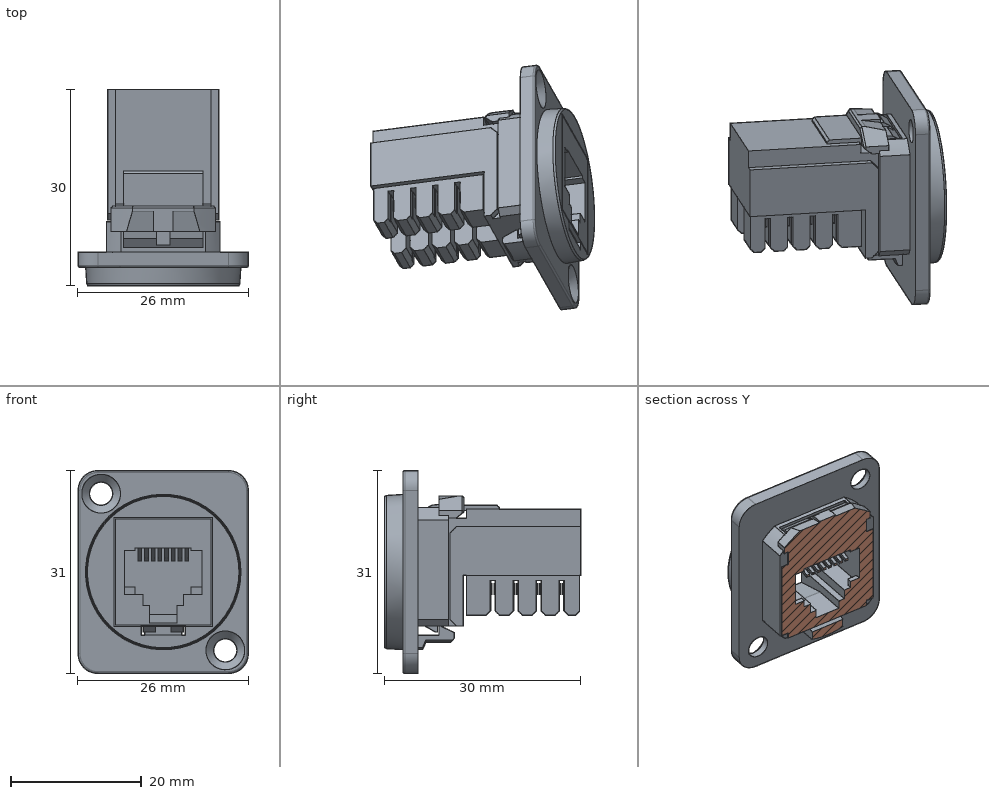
import cadquery as cq


PLATE_WIDTH = 26.0
PLATE_HEIGHT = 31
PLATE_FRONT = 2.82
PLATE_BACK = 5.15
PLATE_CORNER_RADIUS = 3.05
PLATE_EDGE_RADIUS = 0.28
BEZEL_BASE_RADIUS = 11.87
BEZEL_FRONT_RADIUS = 11.72
BEZEL_EDGE_SETBACK = 0.15
BEZEL_EDGE_DEPTH = 0.35
SCREW_X = 9.5
SCREW_Z = 11.97
SCREW_DIAMETER = 3.5
SCREW_HEAD_DIAMETER = 5.92

WINDOW_HALF_WIDTH = 7.5
WINDOW_HALF_HEIGHT = 8.3
GAP_WIDTH = 0.2
GAP_DEPTH = 0.62

HOUSING_BACK = 9.8
HOUSING_RADIUS = 11.78
HOUSING_HALF_WIDTH = 8.68
HOUSING_TOP = 9.85
HOUSING_BOTTOM = -8.25
HOUSING_BOTTOM_CHAMFER = 1.0

BODY_BACK = 30.0
BODY_HALF_WIDTH = 7.3
BODY_TOP = 9.6
BODY_BOTTOM = -0.53
BODY_STEP_Y = 12.52
BODY_STEP_TOP = 8.2
FLANGE_HALF_WIDTH = 8.5
FLANGE_FRONT = 10.0
FLANGE_TOP = 6.95
FLANGE_CHAMFER = 1.0
LEG_BACK = 12.05
LEG_BOTTOM = HOUSING_BOTTOM

FINGER_BACK = 29.8
FINGER_FRONT = 12.52
FINGER_BOTTOM = -6.6
FINGER_OUTER_X = 7.6
FINGER_INNER_X = 2.48
FINGER_WALL = 1.25
FINGER_CHAMFER = 0.6
SLOT_COUNT = 4
SLOT_PITCH = 3.5
SLOT_FIRST_Y = 16.55
SLOT_WIDTH = 0.87
SLOT_INNER_WIDTH = 0.62
SLOT_TOP = -1.3
BLADE_TOP = -1.75
BLADE_BOTTOM = -3.4
BLADE_SLIT = 0.28
BLADE_THICKNESS = 0.3

STRIP_HALF_WIDTH = 6.05
STRIP_TOP = 10.23
STRIP_BACK = 17.55
STRIP_CHAMFER = 0.37
STRIP_FRONT = 5.85
STRIP_FRONT_Z = 9.4
STRIP_RAMP_BACK = 7.25
STRIP_PEAK_Z = 10.35
NOTCH_HALF_WIDTH = 1.02
NOTCH_FLOOR = 9.6

HEAD_FRONT = 8.3
HEAD_BACK = 12.15
HEAD_HALF_WIDTH = 8.0
HEAD_FLAT_HALF_WIDTH = 4.7
HEAD_TOP = 11.62
HEAD_SHOULDER_Z = 9.4
HEAD_ARCH_X = 6.35
HEAD_ARCH_Z = 10.6
HEAD_BOTTOM = 8.45
HEAD_HOOK_BACK_Z = 9.18
HEAD_HOOK_Y = 10.95
HEAD_CHAMFER = 0.28
HEAD_RIB_HALF_WIDTH = 1.45
HEAD_RAMP_BACK = 11.3
HEAD_RAMP_FRONT_Z = 11.1

LATCH_SLOT_HALF_WIDTH = 3.35
LATCH_SLOT_BOTTOM = -9.65
ARM_HALF_WIDTH = 2.85
ARM_OUTER_RADIUS = 10.75
ARM_FOOT_RADIUS = 11.85
ARM_FOOT_BACK = 5.83
ARM_NECK_Y = 6.32
HOOK_FRONT = 8.3
HOOK_BACK = 10.65
HOOK_TIP_BACK = 8.62
HOOK_UPPER_Z = -9.25
HOOK_LOWER_Z = -10.1
HOOK_UNDERSIDE_BACK = 10.1
WEDGE_INNER_X = 1.2
WEDGE_OUTER_X = 3.07
WEDGE_TIP_Z = -9.18
WEDGE_FRONT = 6.17
WEDGE_TIP_FRONT = 7.75
WEDGE_BACK = 8.12

SOCKET_DEPTH = 10.85
SOCKET_HALF_WIDTH = 5.9
SOCKET_TOP = 3.32
SOCKET_FLOOR = -3.45
CONTACT_NOTCH_HALF_WIDTH = 4.28
CONTACT_NOTCH_TOP = 3.7
KEY_HALF_WIDTH = 3.1
KEY_FLOOR = -5.08
CHANNEL_HALF_WIDTH = 2.08
CHANNEL_FLOOR = -7.75
CHANNEL_BACK_FLOOR = -6.48
CHANNEL_RAMP_LENGTH = 5.02
STOP_FRONT = 9.3
STOP_TOP = -2.3
CONTACT_COUNT = 8
CONTACT_PITCH = 1.02
CONTACT_WIDTH = 0.55
CONTACT_TIP_Z = 1.67
CONTACT_THICKNESS = 0.45
CONTACT_FRONT = 3.72


def box(x, y, z):
    """Box between the given (low, high) limits on each axis."""
    return cq.Workplane("XY").box(
        x[1] - x[0], y[1] - y[0], z[1] - z[0], centered=False
    ).translate((x[0], y[0], z[0]))


def centred_box(half_width, y, z):
    return box((-half_width, half_width), y, z)


def side_extrude(points, x):
    """Extrude a closed (Y, Z) outline between two X limits."""
    return cq.Workplane("YZ").workplane(offset=x[0]).polyline(points).close().extrude(x[1] - x[0])


def front_plane(y):
    """XZ plane at the given Y; extrusions from it run toward +Y when negative."""
    return cq.Workplane("XZ", origin=(0, y, 0))


def round_about_y(profile):
    """Revolve a closed (radius, Y) outline about the Y axis."""
    return cq.Workplane("XY").polyline(profile).close().revolve(360, (0, 0, 0), (0, 1, 0))


def both_sides(solid):
    return solid.union(solid.mirror("YZ"))


def make_plate():
    plate = front_plane(PLATE_FRONT).rect(PLATE_WIDTH, PLATE_HEIGHT).extrude(PLATE_FRONT - PLATE_BACK)
    plate = plate.edges("|Y").fillet(PLATE_CORNER_RADIUS)
    return plate.faces("<Y").edges().fillet(PLATE_EDGE_RADIUS)


def make_bezel():
    return round_about_y([
        (0, 0),
        (BEZEL_FRONT_RADIUS - BEZEL_EDGE_SETBACK, 0),
        (BEZEL_FRONT_RADIUS, BEZEL_EDGE_DEPTH),
        (BEZEL_BASE_RADIUS, PLATE_FRONT),
        (0, PLATE_FRONT),
    ])


def make_screw_holes():
    """Countersunk holes in two opposite plate corners."""
    head_radius = SCREW_HEAD_DIAMETER / 2
    hole_radius = SCREW_DIAMETER / 2
    cone_end = PLATE_FRONT + head_radius - hole_radius
    cutter = round_about_y([
        (0, 0),
        (head_radius, 0),
        (head_radius, PLATE_FRONT),
        (hole_radius, cone_end),
        (hole_radius, PLATE_BACK),
        (0, PLATE_BACK),
    ])
    upper = cutter.translate((-SCREW_X, 0, SCREW_Z))
    lower = cutter.translate((SCREW_X, 0, -SCREW_Z))
    return upper.union(lower)


def make_housing():
    """Block with chamfered bottom corners, its upper corners rounded about the bezel axis."""
    length = (PLATE_BACK, HOUSING_BACK)
    block = centred_box(HOUSING_HALF_WIDTH, length, (HOUSING_BOTTOM, HOUSING_TOP))
    block = block.edges("|Y and <Z").chamfer(HOUSING_BOTTOM_CHAMFER)
    round_limit = front_plane(PLATE_BACK).circle(HOUSING_RADIUS).extrude(PLATE_BACK - HOUSING_BACK)
    strip_bed = centred_box(STRIP_HALF_WIDTH, (STRIP_FRONT, HOUSING_BACK), (STRIP_FRONT_Z, HOUSING_TOP))
    return block.intersect(round_limit).cut(strip_bed)


def make_body():
    core = side_extrude([
        (HOUSING_BACK, LEG_BOTTOM),
        (LEG_BACK, LEG_BOTTOM),
        (LEG_BACK, BODY_BOTTOM),
        (BODY_BACK, BODY_BOTTOM),
        (BODY_BACK, BODY_TOP),
        (BODY_STEP_Y, BODY_TOP),
        (BODY_STEP_Y, BODY_STEP_TOP),
        (HOUSING_BACK, BODY_STEP_TOP),
    ], (-BODY_HALF_WIDTH, BODY_HALF_WIDTH))
    flange = side_extrude([
        (FLANGE_FRONT, LEG_BOTTOM + FLANGE_CHAMFER),
        (FLANGE_FRONT + FLANGE_CHAMFER, LEG_BOTTOM),
        (LEG_BACK, LEG_BOTTOM),
        (LEG_BACK, BODY_BOTTOM),
        (BODY_BACK, BODY_BOTTOM),
        (BODY_BACK, FLANGE_TOP),
        (FLANGE_FRONT + FLANGE_CHAMFER, FLANGE_TOP),
        (FLANGE_FRONT, FLANGE_TOP - FLANGE_CHAMFER),
    ], (-FLANGE_HALF_WIDTH, FLANGE_HALF_WIDTH))
    return core.union(flange)


def make_fingers():
    """Two rows of slotted walls with a split contact blade in every slot."""
    row_x = (FINGER_INNER_X, FINGER_OUTER_X)
    row = box(row_x, (FINGER_FRONT, FINGER_BACK), (FINGER_BOTTOM, BODY_BOTTOM))
    row = row.edges("|X and <Z and >Y").chamfer(FINGER_CHAMFER)
    middle_x = sum(row_x) / 2
    blade_x = (middle_x - BLADE_THICKNESS / 2, middle_x + BLADE_THICKNESS / 2)
    for index in range(SLOT_COUNT):
        y = SLOT_FIRST_Y + index * SLOT_PITCH
        half = SLOT_WIDTH / 2
        inner_half = SLOT_INNER_WIDTH / 2
        mouth = half + FINGER_CHAMFER
        outer_slot = box(
            (FINGER_OUTER_X - FINGER_WALL, FINGER_OUTER_X), (y - half, y + half), (FINGER_BOTTOM, SLOT_TOP)
        )
        inner_slot = box(row_x, (y - inner_half, y + inner_half), (FINGER_BOTTOM, SLOT_TOP))
        lead_in = side_extrude([
            (y - mouth, FINGER_BOTTOM),
            (y + mouth, FINGER_BOTTOM),
            (y, FINGER_BOTTOM + mouth),
        ], row_x)
        blade = box(blade_x, (y - half, y + half), (BLADE_BOTTOM, BLADE_TOP))
        slit = box(blade_x, (y - BLADE_SLIT / 2, y + BLADE_SLIT / 2), (BLADE_BOTTOM, BLADE_TOP))
        row = row.cut(outer_slot).cut(inner_slot).cut(lead_in).union(blade.cut(slit))
    return both_sides(row)


def make_top_latch():
    strip = side_extrude([
        (STRIP_FRONT, STRIP_FRONT_Z),
        (STRIP_RAMP_BACK, STRIP_TOP),
        (HEAD_FRONT, STRIP_PEAK_Z),
        (HEAD_FRONT, STRIP_TOP),
        (STRIP_BACK - STRIP_CHAMFER, STRIP_TOP),
        (STRIP_BACK, STRIP_TOP - STRIP_CHAMFER),
        (STRIP_BACK, BODY_TOP),
        (BODY_STEP_Y, BODY_TOP),
        (BODY_STEP_Y, STRIP_FRONT_Z),
    ], (-STRIP_HALF_WIDTH, STRIP_HALF_WIDTH))
    notch = centred_box(NOTCH_HALF_WIDTH, (STRIP_FRONT, HEAD_FRONT), (NOTCH_FLOOR, STRIP_PEAK_Z))
    return strip.cut(notch).union(make_latch_head())


def make_latch_head():
    """Hooked bar with arched ends and a ramp on each side of a central rib."""
    bar = (
        front_plane(HEAD_FRONT)
        .moveTo(-HEAD_HALF_WIDTH, 0)
        .lineTo(HEAD_HALF_WIDTH, 0)
        .lineTo(HEAD_HALF_WIDTH, HEAD_SHOULDER_Z)
        .threePointArc((HEAD_ARCH_X, HEAD_ARCH_Z), (HEAD_FLAT_HALF_WIDTH, HEAD_TOP))
        .lineTo(-HEAD_FLAT_HALF_WIDTH, HEAD_TOP)
        .threePointArc((-HEAD_ARCH_X, HEAD_ARCH_Z), (-HEAD_HALF_WIDTH, HEAD_SHOULDER_Z))
        .close()
        .extrude(HEAD_FRONT - HEAD_BACK)
        .faces(">Y")
        .edges()
        .chamfer(HEAD_CHAMFER)
    )
    bar = bar.intersect(side_extrude([
        (HEAD_FRONT, HEAD_BOTTOM),
        (HOUSING_BACK, HEAD_BOTTOM),
        (HOUSING_BACK, BODY_STEP_TOP),
        (HEAD_HOOK_Y, BODY_STEP_TOP),
        (HEAD_BACK, HEAD_HOOK_BACK_Z),
        (HEAD_BACK, HEAD_TOP),
        (HEAD_FRONT, HEAD_TOP),
    ], (-HEAD_HALF_WIDTH, HEAD_HALF_WIDTH)))
    ramp = side_extrude([
        (HEAD_FRONT, HEAD_TOP),
        (HEAD_FRONT, HEAD_RAMP_FRONT_Z),
        (HEAD_RAMP_BACK, HEAD_TOP),
    ], (HEAD_RIB_HALF_WIDTH, HEAD_HALF_WIDTH))
    return bar.cut(both_sides(ramp))


def make_arm():
    """Hooked spring arm whose underside is rounded about the bezel axis."""
    arm = side_extrude([
        (PLATE_BACK, LATCH_SLOT_BOTTOM),
        (HOOK_FRONT, LATCH_SLOT_BOTTOM),
        (HOOK_FRONT, HOUSING_BOTTOM),
        (HOOK_TIP_BACK, HOUSING_BOTTOM),
        (HOOK_BACK, HOOK_UPPER_Z),
        (HOOK_BACK, HOOK_LOWER_Z),
        (HOOK_UNDERSIDE_BACK, -ARM_OUTER_RADIUS),
        (ARM_NECK_Y, -ARM_OUTER_RADIUS),
        (ARM_FOOT_BACK, -ARM_FOOT_RADIUS),
        (PLATE_BACK, -ARM_FOOT_RADIUS),
    ], (-ARM_HALF_WIDTH, ARM_HALF_WIDTH))
    return arm.intersect(round_about_y([
        (0, PLATE_BACK),
        (ARM_FOOT_RADIUS, PLATE_BACK),
        (ARM_FOOT_RADIUS, ARM_FOOT_BACK),
        (ARM_OUTER_RADIUS, ARM_NECK_Y),
        (ARM_OUTER_RADIUS, HOOK_BACK),
        (0, HOOK_BACK),
    ]))


def make_wedges():
    wedge = side_extrude([
        (WEDGE_FRONT, HOUSING_BOTTOM),
        (WEDGE_TIP_FRONT, WEDGE_TIP_Z),
        (WEDGE_BACK, WEDGE_TIP_Z),
        (WEDGE_BACK, HOUSING_BOTTOM),
    ], (WEDGE_INNER_X, WEDGE_OUTER_X))
    return both_sides(wedge)


def make_face_gap():
    """Narrow groove round the jack face, joined to the latch slot below it."""
    depth = (0, GAP_DEPTH)
    outer = centred_box(WINDOW_HALF_WIDTH, depth, (-WINDOW_HALF_HEIGHT, WINDOW_HALF_HEIGHT))
    inner_height = WINDOW_HALF_HEIGHT - GAP_WIDTH
    inner = centred_box(WINDOW_HALF_WIDTH - GAP_WIDTH, depth, (-inner_height, inner_height))
    slot = centred_box(LATCH_SLOT_HALF_WIDTH, (0, PLATE_BACK), (LATCH_SLOT_BOTTOM, -WINDOW_HALF_HEIGHT))
    return outer.cut(inner).union(slot)


def make_socket():
    depth = (0, SOCKET_DEPTH)
    socket = centred_box(SOCKET_HALF_WIDTH, depth, (SOCKET_FLOOR, SOCKET_TOP))
    socket = socket.union(centred_box(CONTACT_NOTCH_HALF_WIDTH, depth, (SOCKET_FLOOR, CONTACT_NOTCH_TOP)))
    socket = socket.union(centred_box(KEY_HALF_WIDTH, depth, (KEY_FLOOR, SOCKET_FLOOR)))
    socket = socket.union(side_extrude([
        (0, KEY_FLOOR),
        (0, CHANNEL_FLOOR),
        (CHANNEL_RAMP_LENGTH, CHANNEL_BACK_FLOOR),
        (SOCKET_DEPTH, CHANNEL_BACK_FLOOR),
        (SOCKET_DEPTH, KEY_FLOOR),
    ], (-CHANNEL_HALF_WIDTH, CHANNEL_HALF_WIDTH)))
    stop = box(
        (CONTACT_NOTCH_HALF_WIDTH, SOCKET_HALF_WIDTH), (STOP_FRONT, SOCKET_DEPTH), (SOCKET_FLOOR, STOP_TOP)
    )
    return socket.cut(both_sides(stop))


def make_contacts():
    """Spring contacts that slope down from the socket roof to its back wall."""
    contacts = cq.Workplane("XY")
    for index in range(CONTACT_COUNT):
        x = (index - (CONTACT_COUNT - 1) / 2) * CONTACT_PITCH
        contacts = contacts.union(side_extrude([
            (CONTACT_FRONT, CONTACT_NOTCH_TOP),
            (SOCKET_DEPTH, CONTACT_TIP_Z),
            (SOCKET_DEPTH, CONTACT_TIP_Z + CONTACT_THICKNESS),
            (CONTACT_FRONT, CONTACT_NOTCH_TOP + CONTACT_THICKNESS),
        ], (x - CONTACT_WIDTH / 2, x + CONTACT_WIDTH / 2)))
    return contacts


result = (
    make_plate()
    .cut(make_screw_holes())
    .union(make_bezel())
    .union(make_housing())
    .union(make_body())
    .union(make_fingers())
    .union(make_top_latch())
    .union(make_arm())
    .union(make_wedges())
    .cut(make_face_gap())
    .cut(make_socket())
    .union(make_contacts())
)